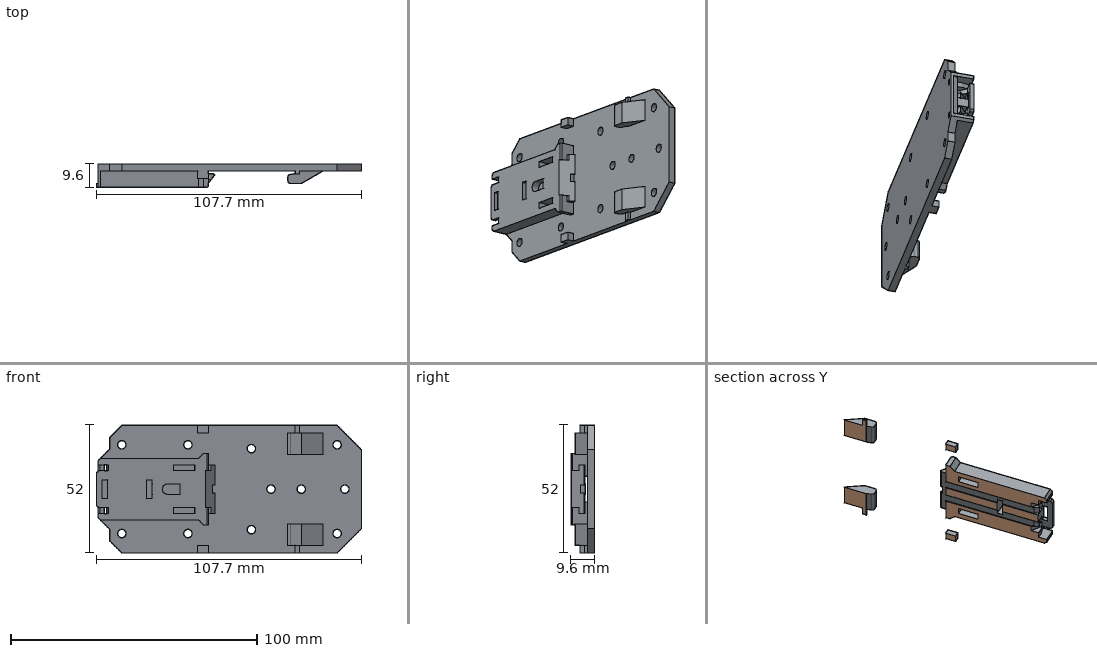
import cadquery as cq
import math


LENGTH = 107.65
HALF_WIDTH = 26.0
PLATE_DEPTH = 3.0
PLATE_LEFT = 0.65
SHOULDER_X = 5.45
LEFT_CORNER = 5.0
RIGHT_CORNER = 10.0
SHOULDER_Z = 16.3
LEFT_END_Z = SHOULDER_Z - (SHOULDER_X - PLATE_LEFT)

HOLE_DIAMETER = 3.3
CENTRE_HOLES_X = (70.9, 83.2, 100.9)
PAIRED_HOLES = ((10.36, 18.0), (37.2, 18.0), (62.95, 16.45), (97.75, 18.0))

HOUSING_DEPTH = 9.6
HOUSING_Z = 12.5
HOUSING_END = 45.5
FLARE = 2.0
FLARE_START = 41.5
END_CHAMFER = 0.5
FRONT_WALL = 1.7
CAVITY_FRONT = HOUSING_DEPTH - FRONT_WALL
LIP_CHAMFER = 0.85

SLOT_INNER_Z = 7.5
SLOT_OUTER_Z = 9.9
ENTRY_WALL_X = 4.2
ENTRY_RAMP_DEPTH = 6.05
ENTRY_RAMP_RUN = 0.7
ENTRY_FLOOR_DEPTH = 1.0
ENTRY_FLOOR_RUN = 0.8
BACK_OPENING_X = 3.3
SIDE_SLOT_X = (31.4, 40.1)
SIDE_SLOT_RUN = 0.3
WINDOW_LENGTH = 2.27
WINDOW_HALF_Z = 3.75
WINDOWS_X = (2.27, 20.4)
ROUND_WINDOW_X = (26.8, 34.0)
ROUND_WINDOW_RADIUS = 2.1
ROUND_WINDOW_DEPTH = 6.2

BODY_X = WINDOWS_X[0] + WINDOW_LENGTH
PASSAGE_HALF_Z = 5.2
TONGUE_HALF_Z = ROUND_WINDOW_RADIUS
TONGUE_GAP_DEPTH = 3.65
BODY_GAP_DEPTH = 4.0
NOSE_DEPTH = 5.15
NOSE_BACK_ANGLE = 60.0
NOSE_FRONT_ANGLE = 51.0
SIDE_RAMP_ANGLE = 35.8

LATCH_TIP_X = 48.13
LATCH_TIP_DEPTH = 4.45
LATCH_TIP_CHAMFER = 0.6
LATCH_SLOPE_ANGLE = 53.0
LATCH_ARM_DEPTH = 6.4
LATCH_NOTCH_X = 47.1
LATCH_NOTCH_HALF_Z = 1.6

INSET = 3.2
LUG_X = 41.1
LUG_DEPTH = 6.0
HOOK_OUTER_Z = HALF_WIDTH - INSET
HOOK_INNER_Z = 14.05
HOOK_TIP_X = 77.7
HOOK_FLAT_END_X = 83.25
HOOK_RAMP_ANGLE = 30.0
HOOK_DEPTH = 8.0
HOOK_NECK_DEPTH = 3.9
HOOK_TIP_DEPTH = 4.45
HOOK_RADIUS = 1.15
NECK_X = (80.65, 82.5)
NECK_DEPTH = 4.2

OVERCUT = 1.0


def block(x_range, depth_range, z_range):
    """Box given by its limits along X, depth and Z."""
    (x0, x1), (d0, d1), (z0, z1) = x_range, depth_range, z_range
    return cq.Workplane("XY").box(x1 - x0, d1 - d0, z1 - z0, centered=False).translate((x0, -d1, z0))


def prism(profile, z_range):
    """Profile of (x, depth) points extruded along Z."""
    points = [(x, -depth) for x, depth in profile]
    z0, z1 = z_range
    return cq.Workplane("XY").workplane(offset=z0).polyline(points).close().extrude(z1 - z0)


def slab(outline, depth_range):
    """Outline of (x, z) points extruded between two depths."""
    d0, d1 = depth_range
    return cq.Workplane("XZ").workplane(offset=d0).polyline(outline).close().extrude(d1 - d0)


def symmetric(half):
    """Outline completed by its mirror image across z = 0."""
    return half + [(x, -z) for x, z in reversed(half)]


def both_sides(shape):
    """Shape together with its mirror image across z = 0."""
    return shape.union(shape.mirror("XY"))


def plate():
    half = [
        (PLATE_LEFT, LEFT_END_Z),
        (SHOULDER_X, SHOULDER_Z),
        (SHOULDER_X, HALF_WIDTH - LEFT_CORNER),
        (SHOULDER_X + LEFT_CORNER, HALF_WIDTH),
        (LENGTH - RIGHT_CORNER, HALF_WIDTH),
        (LENGTH, HALF_WIDTH - RIGHT_CORNER),
    ]
    return slab(symmetric(half), (0, PLATE_DEPTH))


def screw_holes():
    centres = [(x, 0) for x in CENTRE_HOLES_X]
    for x, z in PAIRED_HOLES:
        centres += [(x, z), (x, -z)]
    return cq.Workplane("XZ").pushPoints(centres).circle(HOLE_DIAMETER / 2).extrude(PLATE_DEPTH)


def housing():
    half = [
        (PLATE_LEFT, LEFT_END_Z),
        (PLATE_LEFT + HOUSING_Z - LEFT_END_Z, HOUSING_Z),
        (FLARE_START, HOUSING_Z),
        (FLARE_START + FLARE, HOUSING_Z + FLARE),
        (HOUSING_END, HOUSING_Z + FLARE),
    ]
    body = slab(symmetric(half), (0, HOUSING_DEPTH))
    body = body.faces(">X").edges("<Y").chamfer(END_CHAMFER)
    lip_z = (-SLOT_INNER_Z, SLOT_INNER_Z)
    return body.union(block((0, PLATE_LEFT), (CAVITY_FRONT, HOUSING_DEPTH), lip_z))


def lip_corners():
    """Chamfers at the two ends of the lip."""
    corner = [(0, SLOT_INNER_Z), (LIP_CHAMFER, SLOT_INNER_Z), (0, SLOT_INNER_Z - LIP_CHAMFER)]
    return both_sides(slab(corner, (CAVITY_FRONT, HOUSING_DEPTH)))


def entry_cavity():
    """Mouth at the left end with a ramped floor, side slots and openings through the back."""
    floor = [
        (PLATE_LEFT - OVERCUT, ENTRY_FLOOR_DEPTH),
        (PLATE_LEFT, ENTRY_FLOOR_DEPTH),
        (PLATE_LEFT + ENTRY_FLOOR_RUN, PLATE_DEPTH),
        (ENTRY_WALL_X, PLATE_DEPTH),
        (ENTRY_WALL_X, CAVITY_FRONT),
        (PLATE_LEFT - OVERCUT, CAVITY_FRONT),
    ]
    slot = [
        (PLATE_LEFT - OVERCUT, PLATE_DEPTH + OVERCUT),
        (ENTRY_WALL_X, PLATE_DEPTH + OVERCUT),
        (ENTRY_WALL_X, ENTRY_RAMP_DEPTH),
        (ENTRY_WALL_X + ENTRY_RAMP_RUN, HOUSING_DEPTH),
        (PLATE_LEFT - OVERCUT, HOUSING_DEPTH),
    ]
    slot_z = (SLOT_INNER_Z, SLOT_OUTER_Z)
    back_opening = block((BACK_OPENING_X, ENTRY_WALL_X), (0, PLATE_DEPTH), slot_z)
    slots = both_sides(prism(slot, slot_z).union(back_opening))
    return prism(floor, (-SLOT_OUTER_Z, SLOT_OUTER_Z)).union(slots)


def passage():
    """Space around the latch body: ramps at its sides, pointed noses, and a tongue between."""
    ramp_run = (CAVITY_FRONT - PLATE_DEPTH) * math.tan(math.radians(SIDE_RAMP_ANGLE))
    nose_back_run = (NOSE_DEPTH - BODY_GAP_DEPTH) * math.tan(math.radians(NOSE_BACK_ANGLE))
    nose_front_run = (CAVITY_FRONT - NOSE_DEPTH) * math.tan(math.radians(NOSE_FRONT_ANGLE))
    start = [(ENTRY_WALL_X, PLATE_DEPTH), (ENTRY_WALL_X, CAVITY_FRONT)]
    side = start + [(BODY_X, CAVITY_FRONT), (BODY_X + ramp_run, PLATE_DEPTH)]
    nose = start + [
        (BODY_X + nose_front_run, CAVITY_FRONT),
        (BODY_X, NOSE_DEPTH),
        (BODY_X + nose_back_run, BODY_GAP_DEPTH),
        (HOUSING_END, BODY_GAP_DEPTH),
        (HOUSING_END, PLATE_DEPTH),
    ]
    tongue = start + [
        (BODY_X, CAVITY_FRONT),
        (BODY_X, TONGUE_GAP_DEPTH),
        (HOUSING_END, TONGUE_GAP_DEPTH),
        (HOUSING_END, PLATE_DEPTH),
    ]
    sides = prism(side, (PASSAGE_HALF_Z, SLOT_INNER_Z))
    noses = prism(nose, (TONGUE_HALF_Z, PASSAGE_HALF_Z))
    middle = prism(tongue, (-TONGUE_HALF_Z, TONGUE_HALF_Z))
    return both_sides(sides.union(noses)).union(middle)


def housing_windows():
    slot_start, slot_end = SIDE_SLOT_X
    slot = [
        (slot_start, PLATE_DEPTH),
        (slot_end - SIDE_SLOT_RUN, PLATE_DEPTH),
        (slot_end - SIDE_SLOT_RUN, ENTRY_RAMP_DEPTH),
        (slot_end, HOUSING_DEPTH),
        (slot_start, HOUSING_DEPTH),
    ]
    cuts = both_sides(prism(slot, (SLOT_INNER_Z, SLOT_OUTER_Z)))
    for x in WINDOWS_X:
        z_range = (-WINDOW_HALF_Z, WINDOW_HALF_Z)
        cuts = cuts.union(block((x, x + WINDOW_LENGTH), (PLATE_DEPTH, HOUSING_DEPTH), z_range))
    round_start, round_end = ROUND_WINDOW_X
    arc_x = round_start + ROUND_WINDOW_RADIUS
    round_window = (
        cq.Workplane("XZ")
        .workplane(offset=ROUND_WINDOW_DEPTH)
        .moveTo(round_end, ROUND_WINDOW_RADIUS)
        .lineTo(arc_x, ROUND_WINDOW_RADIUS)
        .threePointArc((round_start, 0), (arc_x, -ROUND_WINDOW_RADIUS))
        .lineTo(round_end, -ROUND_WINDOW_RADIUS)
        .close()
        .extrude(HOUSING_DEPTH - ROUND_WINDOW_DEPTH)
    )
    return cuts.union(round_window)


def latch_slope_x(depth):
    """X of the sloped latch face at a given depth."""
    return LATCH_TIP_X - (depth - LATCH_TIP_DEPTH) / math.tan(math.radians(LATCH_SLOPE_ANGLE))


def latch_slope_cut():
    """Wedge that carries the latch slope across the middle of the housing front."""
    wedge = [
        (latch_slope_x(HOUSING_DEPTH), HOUSING_DEPTH),
        (latch_slope_x(LATCH_ARM_DEPTH), LATCH_ARM_DEPTH),
        (latch_slope_x(LATCH_ARM_DEPTH), HOUSING_DEPTH),
    ]
    return prism(wedge, (-SLOT_INNER_Z, SLOT_INNER_Z))


def latch():
    """Wedge bar past the housing end, with lower arms at both sides and a notch in its tip."""
    bar = [
        (HOUSING_END, BODY_GAP_DEPTH),
        (LATCH_TIP_X - LATCH_TIP_CHAMFER, BODY_GAP_DEPTH),
        (LATCH_TIP_X, LATCH_TIP_DEPTH),
        (latch_slope_x(LATCH_ARM_DEPTH), LATCH_ARM_DEPTH),
        (HOUSING_END, LATCH_ARM_DEPTH),
    ]
    drop = (LATCH_TIP_X - HOUSING_END) * math.tan(math.radians(LATCH_SLOPE_ANGLE))
    middle = [
        (HOUSING_END, LATCH_ARM_DEPTH),
        (latch_slope_x(LATCH_ARM_DEPTH), LATCH_ARM_DEPTH),
        (HOUSING_END, LATCH_TIP_DEPTH + drop),
    ]
    shape = prism(bar, (-SLOT_OUTER_Z, SLOT_OUTER_Z))
    shape = shape.union(prism(middle, (-SLOT_INNER_Z, SLOT_INNER_Z)))
    notch_z = (-LATCH_NOTCH_HALF_Z, LATCH_NOTCH_HALF_Z)
    return shape.cut(block((LATCH_NOTCH_X, LATCH_TIP_X), (PLATE_DEPTH, HOUSING_DEPTH), notch_z))


def stop_lugs():
    edge_z = (HOOK_OUTER_Z, HALF_WIDTH)
    return both_sides(block((LUG_X, HOUSING_END), (PLATE_DEPTH, LUG_DEPTH), edge_z))


def fixed_hooks():
    """Rail hooks facing the latch; each neck continues as a low rib to the plate edge."""
    ramp_run = (HOOK_DEPTH - PLATE_DEPTH) / math.tan(math.radians(HOOK_RAMP_ANGLE))
    profile = [
        (NECK_X[0], PLATE_DEPTH),
        (NECK_X[0], HOOK_NECK_DEPTH),
        (HOOK_TIP_X, HOOK_TIP_DEPTH),
        (HOOK_TIP_X, HOOK_DEPTH),
        (HOOK_FLAT_END_X, HOOK_DEPTH),
        (HOOK_FLAT_END_X + ramp_run, PLATE_DEPTH),
    ]
    hook = prism(profile, (HOOK_INNER_Z, HOOK_OUTER_Z)).faces("<X").edges("|Z").fillet(HOOK_RADIUS)
    rib = block(NECK_X, (PLATE_DEPTH, NECK_DEPTH), (HOOK_OUTER_Z, HALF_WIDTH))
    return both_sides(hook.union(rib))


result = plate().union(housing())
openings = (lip_corners(), entry_cavity(), passage(), housing_windows(), latch_slope_cut(), screw_holes())
for opening in openings:
    result = result.cut(opening)
for addition in (latch(), stop_lugs(), fixed_hooks()):
    result = result.union(addition)